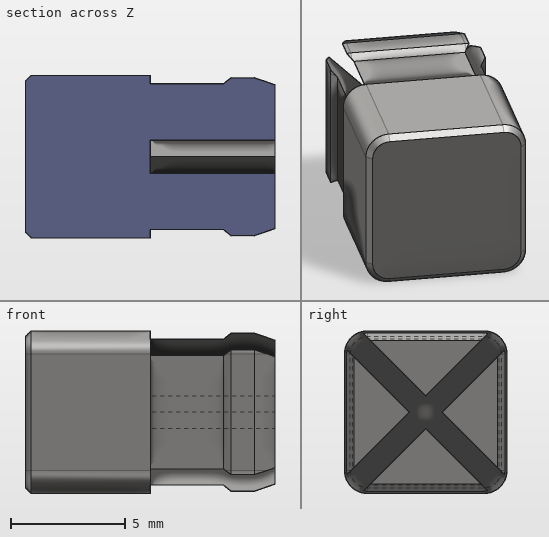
import cadquery as cq
import math

TOTAL_LENGTH = 10.92
HEAD_SIZE = 7.11
HEAD_LENGTH = 5.47
HEAD_CORNER_RADIUS = 1.016
HEAD_CHAMFER = 0.254

SHANK_SIZE = 6.38
SLOT_WIDTH = 1.016

RIDGE_HEIGHT = 0.265
RIDGE_REAR_RAMP = 0.33
RIDGE_FLAT = 1.03
RIDGE_TIP_RAMP = 0.90
RIDGE_TIP_DROP = 0.315

CORNER_CENTRE = HEAD_SIZE / 2 - HEAD_CORNER_RADIUS
RIDGE_SIZE = SHANK_SIZE + 2 * RIDGE_HEIGHT
TIP_SIZE = RIDGE_SIZE - 2 * RIDGE_TIP_DROP

TIP_RAMP_START = TOTAL_LENGTH - RIDGE_TIP_RAMP
RIDGE_FLAT_START = TIP_RAMP_START - RIDGE_FLAT
RIDGE_START = RIDGE_FLAT_START - RIDGE_REAR_RAMP


def rounded_square(x, size):
    """Rounded square parallel to the YZ plane at the given X position."""
    radius = size / 2 - CORNER_CENTRE
    outline = cq.Sketch().rect(size, size).vertices().fillet(radius)
    return outline.moved(cq.Location(cq.Vector(0, 0, x)))


def section(x_start, x_end, size_start, size_end):
    """Solid running along X between two rounded squares, straight or tapered."""
    profiles = [rounded_square(x_start, size_start), rounded_square(x_end, size_end)]
    return cq.Workplane("YZ").placeSketch(*profiles).loft(ruled=True)


def make_head():
    front_size = HEAD_SIZE - 2 * HEAD_CHAMFER
    bevel = section(0, HEAD_CHAMFER, front_size, HEAD_SIZE)
    return bevel.union(section(HEAD_CHAMFER, HEAD_LENGTH, HEAD_SIZE, HEAD_SIZE))


def make_shank():
    shank = section(HEAD_LENGTH, RIDGE_START, SHANK_SIZE, SHANK_SIZE)
    shank = shank.union(section(RIDGE_START, RIDGE_FLAT_START, SHANK_SIZE, RIDGE_SIZE))
    shank = shank.union(section(RIDGE_FLAT_START, TIP_RAMP_START, RIDGE_SIZE, RIDGE_SIZE))
    return shank.union(section(TIP_RAMP_START, TOTAL_LENGTH, RIDGE_SIZE, TIP_SIZE))


def cut_diagonal_slots(shank):
    """Split the shank corner to corner into four prongs."""
    slot_span = RIDGE_SIZE * math.sqrt(2)
    for angle in (45, -45):
        slot = (
            cq.Workplane("YZ", origin=(HEAD_LENGTH, 0, 0))
            .transformed(rotate=(0, 0, angle))
            .rect(slot_span, SLOT_WIDTH)
            .extrude(TOTAL_LENGTH - HEAD_LENGTH)
        )
        shank = shank.cut(slot)
    return shank


result = make_head().union(cut_diagonal_slots(make_shank()))